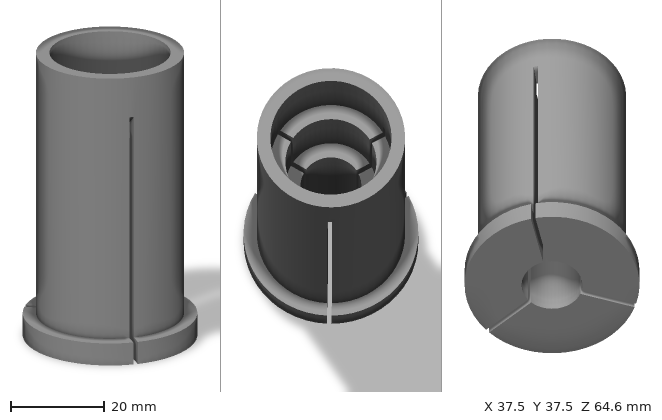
import cadquery as cq

total_height = 64.6
tube_radius = 15.9
flange_radius = 18.75
flange_height = 5.05

top_bore_radius = 13.0
middle_bore_radius = 9.75
through_hole_radius = 6.5
bore_step_depth = 15.0

slot_count = 3
slot_half_width = 0.5
slot_height = 55.55
slot_roof_drop = 2.2
first_slot_angle = 90.0


def make_body():
    """Tube standing on a round flange."""
    flange = cq.Workplane("XY").circle(flange_radius).extrude(flange_height)
    tube = cq.Workplane("XY").circle(tube_radius).extrude(total_height)
    return flange.union(tube)


def make_bore(radius, depth):
    """Cylinder reaching down from the top face."""
    return cq.Workplane("XY").workplane(offset=total_height).circle(radius).extrude(-depth)


def make_slot(angle):
    """Radial slab open at the bottom, with a roof that slopes down towards the axis."""
    roof_slope = slot_roof_drop / (tube_radius - top_bore_radius)
    outer_reach = flange_radius + slot_half_width
    height_at_axis = slot_height - roof_slope * tube_radius
    height_at_reach = height_at_axis + roof_slope * outer_reach
    slab = (
        cq.Workplane("XZ")
        .polyline([(0, 0), (outer_reach, 0), (outer_reach, height_at_reach), (0, height_at_axis)])
        .close()
        .extrude(slot_half_width, both=True)
    )
    return slab.rotate((0, 0, 0), (0, 0, 1), angle)


result = make_body()

result = result.cut(make_bore(top_bore_radius, bore_step_depth))
result = result.cut(make_bore(middle_bore_radius, 2 * bore_step_depth))
result = result.cut(make_bore(through_hole_radius, total_height))

for index in range(slot_count):
    result = result.cut(make_slot(first_slot_angle + index * 360.0 / slot_count))